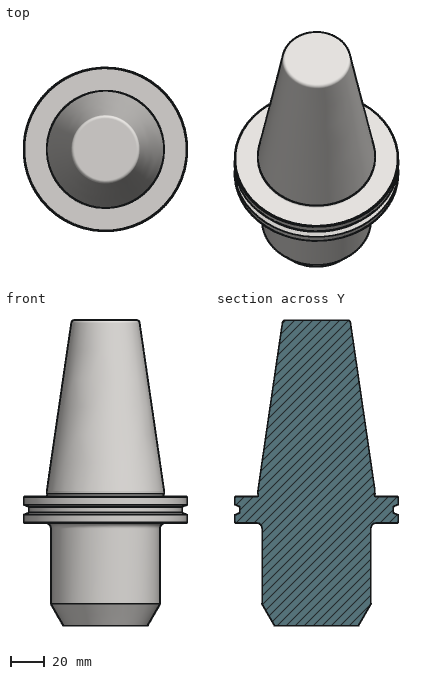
import cadquery as cq
import math

gauge_diameter = 69.85
taper_length = 101.6
taper_ratio = 7 / 24
nose_length = 80.0

tip_fillet = 2.0

collar_length = 3.2
collar_band_length = 1.7
collar_relief_depth = 0.3
collar_root_fillet = 0.8

flange_diameter = 97.45
flange_thickness = 15.9
flange_chamfer = 0.6
groove_floor_diameter = 91.25
groove_center_depth = 11.1
groove_mouth_width = 6.0
groove_wall_angle = 22.0
groove_floor_fillet = 0.5

nose_diameter = 65.0
nose_root_fillet = 3.0
front_face_diameter = 50.0
nose_cone_angle = 30.0

gauge_radius = gauge_diameter / 2
tip_radius = gauge_radius - taper_length * taper_ratio / 2
flange_radius = flange_diameter / 2
flange_top = -collar_length
flange_bottom = flange_top - flange_thickness
relief_radius = gauge_radius - collar_relief_depth
nose_radius = nose_diameter / 2
front_face_radius = front_face_diameter / 2
front_face = -nose_length
cone_height = (nose_radius - front_face_radius) / math.tan(math.radians(nose_cone_angle))


def revolve_outline(outline):
    """Turn a closed (radius, height) outline about the Z axis."""
    return outline.close().revolve(360, (0, 0, 0), (0, 1, 0))


def circle_at(radius, height):
    """Selector for the edges lying at one height, no farther out than the given radius."""
    slack = 0.01
    reach = radius + slack
    return cq.selectors.BoxSelector(
        (-reach, -reach, height - slack), (reach, reach, height + slack), boundingbox=True
    )


def make_taper():
    """Steep taper with a rounded small end, and the relieved collar under it."""
    outline = (
        cq.Workplane("XZ")
        .moveTo(0, flange_top)
        .lineTo(relief_radius, flange_top)
        .lineTo(relief_radius, -collar_band_length)
        .lineTo(gauge_radius, -collar_band_length)
        .lineTo(gauge_radius, 0)
        .lineTo(tip_radius, taper_length)
        .lineTo(0, taper_length)
    )
    return revolve_outline(outline).faces(">Z").edges().fillet(tip_fillet)


def make_flange():
    """Flange disc with chamfered rims."""
    base = cq.Workplane("XY").workplane(offset=flange_bottom)
    disc = base.circle(flange_radius).extrude(flange_thickness)
    return disc.faces("<Z or >Z").edges().chamfer(flange_chamfer)


def make_groove():
    """Ring of material removed by the V groove, its floor corners rounded."""
    floor_radius = groove_floor_diameter / 2
    wall_slope = math.tan(math.radians(groove_wall_angle))
    mouth_half = groove_mouth_width / 2
    floor_half = mouth_half - (flange_radius - floor_radius) * wall_slope
    clearance = 1.0
    outer_radius = flange_radius + clearance
    outer_half = mouth_half + clearance * wall_slope
    outline = (
        cq.Workplane("XZ")
        .moveTo(floor_radius, -groove_center_depth - floor_half)
        .lineTo(outer_radius, -groove_center_depth - outer_half)
        .lineTo(outer_radius, -groove_center_depth + outer_half)
        .lineTo(floor_radius, -groove_center_depth + floor_half)
    )
    ring = revolve_outline(outline)
    for side in (-1, 1):
        corner = circle_at(floor_radius, -groove_center_depth + side * floor_half)
        ring = ring.edges(corner).fillet(groove_floor_fillet)
    return ring


def make_nose():
    """Cylindrical nose with a conical front end."""
    outline = (
        cq.Workplane("XZ")
        .moveTo(0, front_face)
        .lineTo(front_face_radius, front_face)
        .lineTo(nose_radius, front_face + cone_height)
        .lineTo(nose_radius, flange_bottom)
        .lineTo(0, flange_bottom)
    )
    return revolve_outline(outline)


body = make_taper().union(make_flange()).union(make_nose()).cut(make_groove())
body = body.edges(circle_at(relief_radius, flange_top)).fillet(collar_root_fillet)
result = body.edges(circle_at(nose_radius, flange_bottom)).fillet(nose_root_fillet)